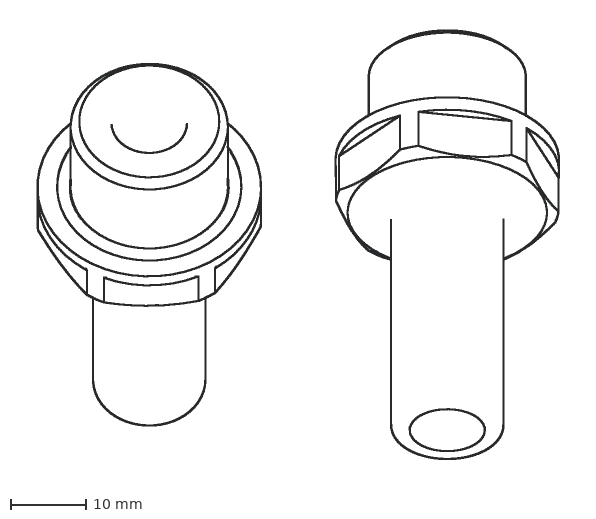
import cadquery as cq
import math

total_length = 57.9
spigot_length = 14.5
collar_thickness = 2.0
hex_height = 6.5
collar_top = total_length - spigot_length
collar_bottom = collar_top - collar_thickness
hex_bottom = collar_bottom - hex_height

spigot_diameter = 20.95
collar_diameter = 29.8
shank_diameter = 15.0
bore_diameter = 10.0

across_flats = 27.0
hex_sides = 6
hex_chamfer_height = 1.05
hex_chamfer_angle = 33.0

ring_outer_diameter = 24.55
ring_inner_diameter = 21.15
ring_protrusion = 1.0

spigot_chamfer = 1.15
bore_mouth_radius = 0.5
shank_end_radius = 0.85
neck_radius = 1.3


def cylinder(diameter, base_height, length):
    return cq.Workplane("XY").workplane(offset=base_height).circle(diameter / 2).extrude(length)


def revolve_about_z(half_profile):
    """Full revolution of an outline drawn in the XZ plane."""
    return half_profile.revolve(360, (0, 0, 0), (0, 1, 0))


def make_spigot():
    spigot = cylinder(spigot_diameter, collar_top, spigot_length)
    return spigot.faces(">Z").edges().chamfer(spigot_chamfer)


def make_collar():
    return cylinder(collar_diameter, collar_bottom, collar_thickness)


def make_hexagon():
    """Hexagon with two flats facing +X and -X, rounded corners and a conical lower chamfer."""
    across_corners = across_flats / math.cos(math.pi / hex_sides)
    prism = (
        cq.Workplane("XY")
        .workplane(offset=hex_bottom)
        .transformed(rotate=(0, 0, 180 / hex_sides))
        .polygon(hex_sides, across_corners)
        .extrude(hex_height)
    )
    outer_radius = collar_diameter / 2
    chamfer_run = hex_chamfer_height / math.tan(math.radians(hex_chamfer_angle))
    half_profile = (
        cq.Workplane("XZ")
        .moveTo(0, hex_bottom)
        .lineTo(outer_radius - chamfer_run, hex_bottom)
        .lineTo(outer_radius, hex_bottom + hex_chamfer_height)
        .lineTo(outer_radius, collar_bottom)
        .lineTo(0, collar_bottom)
        .close()
    )
    return prism.intersect(revolve_about_z(half_profile))


def make_shank():
    """Shank with a rounded free end and a concave flare where it meets the hexagon."""
    radius = shank_diameter / 2
    arc_offset = math.cos(math.radians(45))
    end_mid_inset = shank_end_radius * (1 - arc_offset)
    neck_mid_inset = neck_radius * (1 - arc_offset)
    neck_midpoint = (radius + neck_mid_inset, hex_bottom - neck_mid_inset)
    half_profile = (
        cq.Workplane("XZ")
        .moveTo(0, 0)
        .lineTo(radius - shank_end_radius, 0)
        .threePointArc((radius - end_mid_inset, end_mid_inset), (radius, shank_end_radius))
        .lineTo(radius, hex_bottom - neck_radius)
        .threePointArc(neck_midpoint, (radius + neck_radius, hex_bottom))
        .lineTo(0, hex_bottom)
        .close()
    )
    return revolve_about_z(half_profile)


def make_sealing_ring():
    section_radius = (ring_outer_diameter - ring_inner_diameter) / 4
    ring_centre_radius = ring_outer_diameter / 2 - section_radius
    ring_centre_height = collar_top + ring_protrusion - section_radius
    section = cq.Workplane("XZ").moveTo(ring_centre_radius, ring_centre_height).circle(section_radius)
    return revolve_about_z(section)


def cut_bore(body):
    """Through bore with a rounded mouth in the top face."""
    bored = body.cut(cylinder(bore_diameter, 0, total_length))
    mouth_edge = cq.selectors.RadiusNthSelector(0)
    return bored.faces(">Z").edges(mouth_edge).fillet(bore_mouth_radius)


body = make_shank().union(make_hexagon()).union(make_collar()).union(make_spigot())
body = body.union(make_sealing_ring())
result = cut_bore(body)